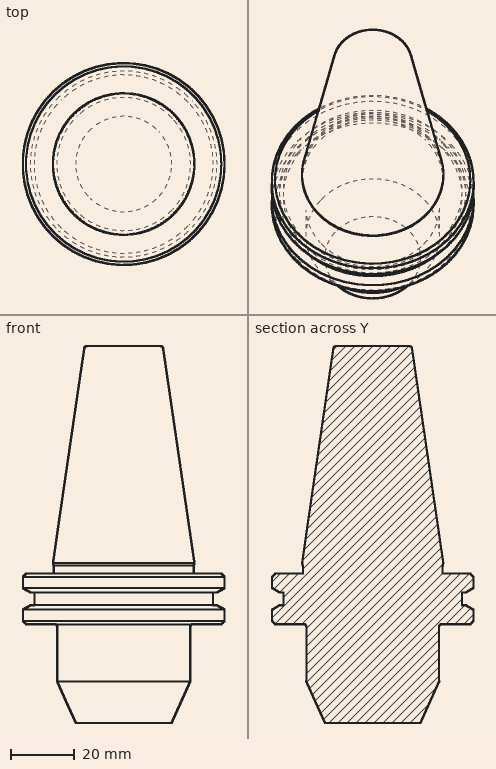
import cadquery as cq
import math

total_height = 118.4
nose_tip_radius = 15.0
nose_radius = 21.0
nose_cone_height = 13.1

flange_radius = 31.7
flange_bottom = 31.0
flange_height = 16.0
flange_chamfer = 1.1
groove_floor_radius = 28.1
groove_floor_width = 3.9
groove_wall_height = 1.4
groove_wall_angle = 60.0
nose_root_fillet = 0.7

neck_radius = 22.0
gauge_radius = 22.3
gauge_level = 50.2
gauge_chamfer_height = 0.7
neck_root_fillet = 0.2
taper_ratio = 7 / 24
shank_end_fillet = 1.0

flange_top = flange_bottom + flange_height
flange_middle = flange_bottom + flange_height / 2
flange_edge_radius = flange_radius - flange_chamfer
groove_floor_half = groove_floor_width / 2
groove_mouth_half = groove_floor_half + groove_wall_height
groove_wall_radius = flange_radius - groove_wall_height * math.tan(math.radians(groove_wall_angle))
shank_end_radius = gauge_radius - (total_height - gauge_level) * taper_ratio / 2


def revolve_profile(points):
    """Revolve a closed outline of (radius, height) points about the Z axis."""
    return cq.Workplane("XZ").polyline(points).close().revolve(360, (0, 0, 0), (0, 1, 0))


def make_body():
    """Nose, plain flange, neck and taper shank with their root and end fillets."""
    nose_root = flange_bottom - nose_root_fillet
    neck_root = flange_top + neck_root_fillet
    end_normal_angle = math.atan(taper_ratio / 2)
    end_setback = shank_end_fillet * math.tan((math.pi / 2 - end_normal_angle) / 2)
    arc_center_radius = shank_end_radius - end_setback
    arc_center_height = total_height - shank_end_fillet
    arc_middle_angle = (math.pi / 2 + end_normal_angle) / 2

    def end_arc_point(angle):
        return (
            arc_center_radius + shank_end_fillet * math.cos(angle),
            arc_center_height + shank_end_fillet * math.sin(angle),
        )

    outline = (
        cq.Workplane("XZ")
        .lineTo(nose_tip_radius, 0)
        .lineTo(nose_radius, nose_cone_height)
        .lineTo(nose_radius, nose_root)
        .radiusArc((nose_radius + nose_root_fillet, flange_bottom), nose_root_fillet)
        .lineTo(flange_edge_radius, flange_bottom)
        .lineTo(flange_radius, flange_bottom + flange_chamfer)
        .lineTo(flange_radius, flange_top - flange_chamfer)
        .lineTo(flange_edge_radius, flange_top)
        .lineTo(neck_radius + neck_root_fillet, flange_top)
        .radiusArc((neck_radius, neck_root), neck_root_fillet)
        .lineTo(neck_radius, gauge_level - gauge_chamfer_height)
        .lineTo(gauge_radius, gauge_level)
        .lineTo(*end_arc_point(end_normal_angle))
        .threePointArc(end_arc_point(arc_middle_angle), end_arc_point(math.pi / 2))
        .lineTo(0, total_height)
        .close()
    )
    return outline.revolve(360, (0, 0, 0), (0, 1, 0))


def make_groove():
    """Ring cut from the flange: sloped walls, a small step, then a cylindrical floor."""
    return revolve_profile([
        (groove_floor_radius, flange_middle - groove_floor_half),
        (groove_wall_radius, flange_middle - groove_floor_half),
        (flange_radius, flange_middle - groove_mouth_half),
        (flange_radius, flange_middle + groove_mouth_half),
        (groove_wall_radius, flange_middle + groove_floor_half),
        (groove_floor_radius, flange_middle + groove_floor_half),
    ])


result = make_body().cut(make_groove())